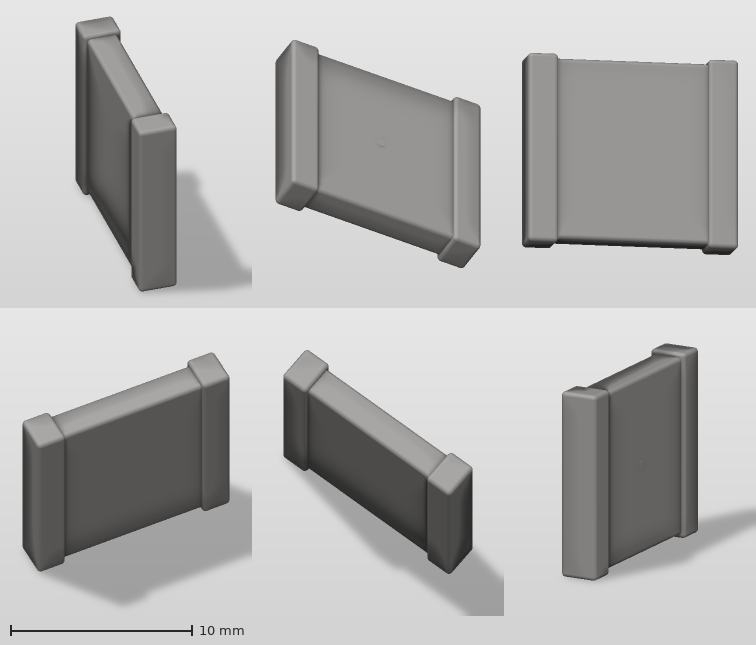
import cadquery as cq

length = 11.8
depth = 2.2
height = 10.6

edge_radius = 0.22

cap_length = 1.68

core_setback = edge_radius
core_length = length - 2 * cap_length
core_depth = depth - 2 * core_setback
core_height = height - 2 * core_setback

mark_size = 0.45
mark_thickness = 0.02
mark_offset_x = 0.28


def make_core():
    """Flat block with rounded long edges, ending at the inner faces of the caps."""
    block = cq.Workplane("XY").box(core_length, core_depth, core_height)
    return block.edges("|X").fillet(edge_radius)


def make_cap(side):
    """Terminal block rounded on every edge; side is -1 for the -X end, +1 for the +X end."""
    center_x = side * (length - cap_length) / 2
    block = cq.Workplane("XY").box(cap_length, depth, height)
    return block.edges().fillet(edge_radius).translate((center_x, 0, 0))


def make_mark():
    """Thin square pad resting on the +Y face of the core."""
    center_y = (core_depth + mark_thickness) / 2
    pad = cq.Workplane("XY").box(mark_size, mark_thickness, mark_size)
    return pad.translate((mark_offset_x, center_y, 0))


core = make_core()
caps = [make_cap(side) for side in (-1, 1)]
mark = make_mark()

result = cq.Compound.makeCompound([core.val(), *[cap.val() for cap in caps], mark.val()])